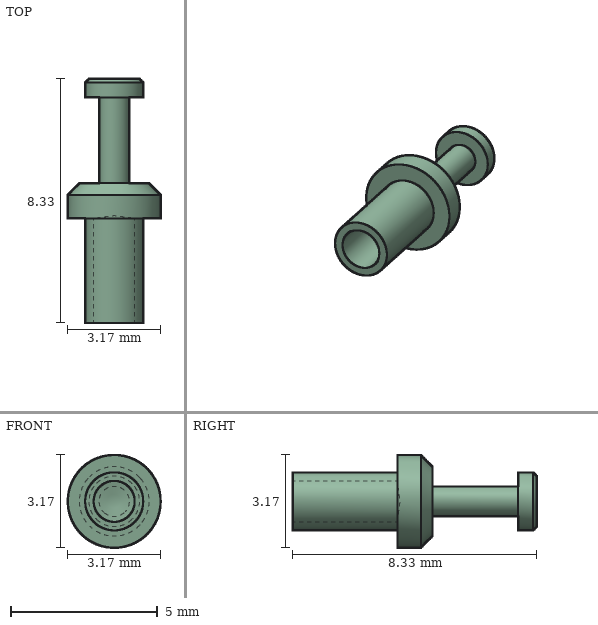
import cadquery as cq
import math

overall_length = 8.33
shank_length = 3.57
collar_length = 1.2
head_length = 0.64

shank_diameter = 1.98
collar_diameter = 3.175
post_diameter = 1.03
bore_diameter = 1.4

shank_radius = shank_diameter / 2
collar_radius = collar_diameter / 2
post_radius = post_diameter / 2
head_radius = shank_radius

collar_chamfer = 0.4
head_chamfer = 0.13

bore_radius = bore_diameter / 2
bore_depth = shank_length
bore_cone_angle = 165.0

shank_end = -shank_length
head_end = shank_end + overall_length
head_start = head_end - head_length


def turned_body():
    """Shank, collar, post and head revolved about the Y axis."""
    profile = (
        cq.Workplane("XY")
        .moveTo(0, shank_end)
        .lineTo(shank_radius, shank_end)
        .lineTo(shank_radius, 0)
        .lineTo(collar_radius, 0)
        .lineTo(collar_radius, collar_length - collar_chamfer)
        .lineTo(collar_radius - collar_chamfer, collar_length)
        .lineTo(post_radius, collar_length)
        .lineTo(post_radius, head_start)
        .lineTo(head_radius, head_start)
        .lineTo(head_radius, head_end - head_chamfer)
        .lineTo(head_radius - head_chamfer, head_end)
        .lineTo(0, head_end)
        .close()
    )
    return profile.revolve(360, (0, 0, 0), (0, 1, 0))


def drilled_bore():
    """Blind bore entering from the shank end, closed by a shallow cone."""
    bore_bottom = shank_end + bore_depth
    cone_length = bore_radius / math.tan(math.radians(bore_cone_angle / 2))
    profile = (
        cq.Workplane("XY")
        .moveTo(0, shank_end)
        .lineTo(bore_radius, shank_end)
        .lineTo(bore_radius, bore_bottom)
        .lineTo(0, bore_bottom + cone_length)
        .close()
    )
    return profile.revolve(360, (0, 0, 0), (0, 1, 0))


result = turned_body().cut(drilled_bore())